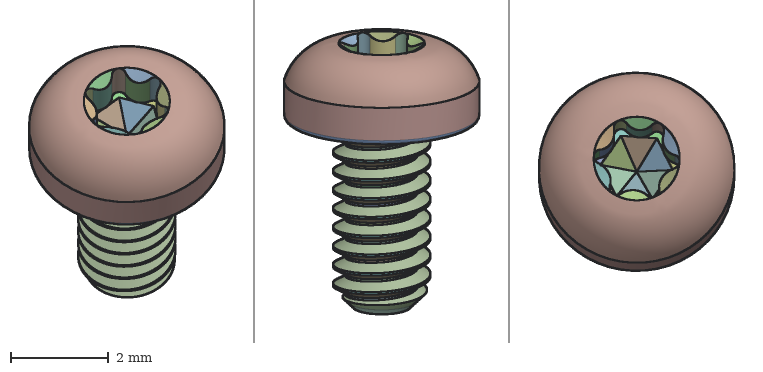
import cadquery as cq
import math

total_height = 5.6
head_radius = 2.0
head_height = 1.6
head_base = total_height - head_height

dome_start = 4.8
under_head_fillet = 0.1

thread_radius = 0.995
core_radius = 0.74
pitches_along_shank = 10
pitch = head_base / pitches_along_shank
crest_width = 0.05
flank_angle = 30.0
crest_height_at_x = 3.54
root_overlap = 0.015
limit_clearance = 0.015
tip_radius = 0.59

lobe_count = 6
socket_radius = 0.88
flute_radius = 0.375
flute_distance = 1.01
mouth_angle = 30.0
socket_depth = 0.78
floor_corner_radius = 0.74
floor_angle = 30.0
floor_point_radius = 0.003


def make_head():
    """Pan head: a cylinder under a dome that is tangent to the flat top."""
    run = head_radius - socket_radius
    drop = total_height - dome_start
    dome_radius = (run**2 + drop**2) / (2 * drop)
    half_sweep = math.asin(run / dome_radius) / 2
    dome_middle = (
        socket_radius + dome_radius * math.sin(half_sweep),
        total_height - dome_radius * (1 - math.cos(half_sweep)),
    )
    profile = (
        cq.Workplane("XZ")
        .moveTo(0, head_base)
        .lineTo(head_radius, head_base)
        .lineTo(head_radius, dome_start)
        .threePointArc(dome_middle, (socket_radius, total_height))
        .lineTo(0, total_height)
        .close()
    )
    head = profile.revolve(360, (0, 0), (0, 1))
    return head.faces("<Z").edges().fillet(under_head_fillet)


def make_thread():
    """Right-hand helical ridge running past both ends of the shank."""
    turns_below = math.ceil(crest_height_at_x / pitch) + 1
    start = crest_height_at_x - turns_below * pitch
    turns = math.ceil((head_base - start) / pitch) + 1
    root_radius = core_radius - root_overlap
    half_crest = crest_width / 2
    half_root = half_crest + (thread_radius - root_radius) * math.tan(math.radians(flank_angle))
    helix = cq.Wire.makeHelix(pitch, turns * pitch, root_radius).translate(cq.Vector(0, 0, start))
    return (
        cq.Workplane("XZ")
        .polyline([
            (root_radius, start - half_root),
            (thread_radius, start - half_crest),
            (thread_radius, start + half_crest),
            (root_radius, start + half_root),
        ])
        .close()
        .sweep(cq.Workplane(obj=helix), isFrenet=True)
    )


def make_shank_limit(radius):
    """Cylinder from the tip to just inside the head, chamfered at 45 degrees at the tip."""
    shank = cq.Workplane("XY").circle(radius).extrude(head_base + under_head_fillet)
    return shank.faces("<Z").chamfer(radius - tip_radius)


def polar(distance, angle):
    return (distance * math.cos(angle), distance * math.sin(angle))


def make_socket_prism(height):
    """Six-lobe prism whose round lobes are tangent to the flutes between them."""
    step = 2 * math.pi / lobe_count
    half_step = step / 2
    reach = flute_radius + socket_radius
    lobe_distance = (reach**2 - flute_distance**2) / (
        2 * (reach - flute_distance * math.cos(half_step))
    )
    lobe_radius = socket_radius - lobe_distance
    share = lobe_radius / (lobe_radius + flute_radius)
    flute_center = polar(flute_distance, half_step)
    tangent_x = lobe_distance + share * (flute_center[0] - lobe_distance)
    tangent_y = share * flute_center[1]
    tangent_distance = math.hypot(tangent_x, tangent_y)
    tangent_angle = math.atan2(tangent_y, tangent_x)

    outline = cq.Workplane("XY").moveTo(*polar(tangent_distance, -tangent_angle))
    for index in range(lobe_count):
        angle = index * step
        outline = outline.threePointArc(
            polar(socket_radius, angle), polar(tangent_distance, angle + tangent_angle)
        ).threePointArc(
            polar(flute_distance - flute_radius, angle + half_step),
            polar(tangent_distance, angle + step - tangent_angle),
        )
    return outline.close().extrude(height)


def make_socket():
    """Six-lobe recess with a countersunk mouth and a hexagonal pyramid sunk into its floor."""
    mouth_depth = socket_radius * math.tan(math.radians(mouth_angle))
    mouth = cq.Workplane("XZ").polyline([
        (0, total_height),
        (socket_radius, total_height),
        (0, total_height - mouth_depth),
    ])
    mouth = mouth.close().revolve(360, (0, 0), (0, 1))

    floor_height = total_height - socket_depth
    walls = make_socket_prism(socket_depth).translate((0, 0, floor_height))

    pyramid_inradius = floor_corner_radius * math.cos(math.pi / lobe_count)
    pyramid_depth = pyramid_inradius * math.tan(math.radians(floor_angle))
    pyramid = (
        cq.Workplane("XY")
        .workplane(offset=floor_height)
        .polygon(lobe_count, 2 * floor_corner_radius)
        .workplane(offset=-pyramid_depth)
        .polygon(lobe_count, 2 * floor_point_radius)
        .loft()
    )
    full_walls = make_socket_prism(socket_depth + pyramid_depth)
    full_walls = full_walls.translate((0, 0, floor_height - pyramid_depth))
    return walls.union(pyramid.intersect(full_walls)).union(mouth)


core = make_shank_limit(core_radius)
thread = make_thread().intersect(make_shank_limit(thread_radius + limit_clearance))
result = make_head().cut(make_socket()).union(core).union(thread)